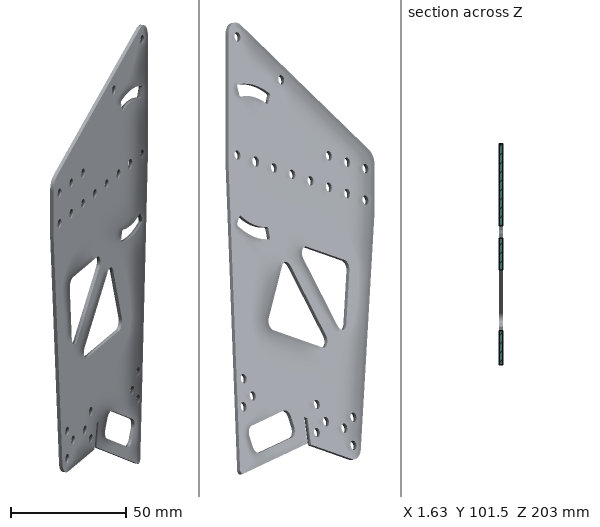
import cadquery as cq
import math

THICKNESS = 1.63
SIDE_VIEW_PLANE = cq.Plane(origin=(0, 0, 0), xDir=(0, -1, 0), normal=(-1, 0, 0))

PITCH = 12.7
HALF_PITCH = PITCH / 2
HOLE_DIAMETER = 4.12
PIVOT_DIAMETER = 4.62

WIDTH = 101.54
BACK_EDGE = -HALF_PITCH
FRONT_EDGE = BACK_EDGE + WIDTH
TAPER_LEVEL = -4.2
BACK_TAPER = 0.059
FRONT_TAPER = 0.0874
TOP_SLOPE = -0.4041
TOP_LINE_START = 60.25
FOOT_LEVEL = -119.2
TOP_BACK_RADIUS = 6.35
TOP_FRONT_RADIUS = 6.35
FOOT_RADIUS = 6.35
TAIL_RADIUS = 1.6
TAIL_ANGLE = 28.2

SLIT_BACK_MOUTH = 48.6
SLIT_MOUTH_WIDTH = 2.4
SLIT_LEAN = -2.35
SLIT_HEIGHT = 11.4

ROW_COUNT = 8
PIVOT_INDEX = 1
PIVOT_ACROSS = PIVOT_INDEX * PITCH
UPPER_ROW_LEVEL = 14.2
UPPER_ROW_FIRST = 5
TOP_HOLES = [(0, 53.4), (30.4, 40.95)]
CLUSTER_LEVEL = -106.4
TAIL_CLUSTER = 4.3
FOOT_CLUSTER = 55.2
CLUSTER_SPAN = 2 * PITCH

SLOT_RADIUS = 31.6
SLOT_WIDTH = 5.4
SLOT_BACK_ANGLE = 22.6
SLOT_FRONT_ANGLE = 17
SLOT_CORNER_RADIUS = 0.8

WINDOW_RADIUS = 3.5
BRACE_SLOPE = -1.05
UPPER_WINDOW_TOP = -30.4
UPPER_WINDOW_BRACE = 11.7
UPPER_WINDOW_FRONT = 80.7
LOWER_WINDOW_BOTTOM = -73.4
LOWER_WINDOW_BRACE = -2.95
LOWER_WINDOW_SLOPE = 2.77
LOWER_WINDOW_CORNER = 20.0

TAIL_WINDOW_CENTER = (23.84, -119.5)
TAIL_WINDOW_LENGTH = 32.7
TAIL_WINDOW_HEIGHT = 12.25
TAIL_WINDOW_RADIUS = 3.8


def prism(points):
    """Straight-sided block through the full plate thickness."""
    return (
        cq.Workplane(SIDE_VIEW_PLANE)
        .polyline(points)
        .close()
        .extrude(THICKNESS / 2, both=True)
    )


def round_corner(body, point, radius):
    corner = SIDE_VIEW_PLANE.toWorldCoords(point)
    return body.edges(cq.NearestToPointSelector(corner.toTuple())).fillet(radius)


def plate():
    tail_slope = math.tan(math.radians(TAIL_ANGLE))
    tail_line = FOOT_LEVEL - tail_slope * SLIT_BACK_MOUTH
    back_line = BACK_EDGE + BACK_TAPER * TAPER_LEVEL
    tip_up = (tail_line + tail_slope * back_line) / (1 + tail_slope * BACK_TAPER)
    tail_tip = (back_line - BACK_TAPER * tip_up, tip_up)
    top_back = (BACK_EDGE, TOP_LINE_START + TOP_SLOPE * BACK_EDGE)
    top_front = (FRONT_EDGE, TOP_LINE_START + TOP_SLOPE * FRONT_EDGE)
    foot = (FRONT_EDGE + FRONT_TAPER * (FOOT_LEVEL - TAPER_LEVEL), FOOT_LEVEL)
    slit_front_mouth = SLIT_BACK_MOUTH + SLIT_MOUTH_WIDTH
    slit_end = FOOT_LEVEL + SLIT_HEIGHT
    body = prism([
        top_back,
        top_front,
        (FRONT_EDGE, TAPER_LEVEL),
        foot,
        (slit_front_mouth, FOOT_LEVEL),
        (slit_front_mouth + SLIT_LEAN, slit_end),
        (SLIT_BACK_MOUTH + SLIT_LEAN, slit_end),
        (SLIT_BACK_MOUTH, FOOT_LEVEL),
        tail_tip,
        (BACK_EDGE, TAPER_LEVEL),
    ])
    body = round_corner(body, top_back, TOP_BACK_RADIUS)
    body = round_corner(body, top_front, TOP_FRONT_RADIUS)
    body = round_corner(body, foot, FOOT_RADIUS)
    return round_corner(body, tail_tip, TAIL_RADIUS)


def drill(points, diameter):
    return (
        cq.Workplane(SIDE_VIEW_PLANE)
        .pushPoints(points)
        .circle(diameter / 2)
        .extrude(THICKNESS, both=True)
    )


def plain_holes():
    """Centres of every hole except the pivot; each cluster is a sideways V of three."""
    row = [(i * PITCH, 0) for i in range(ROW_COUNT) if i != PIVOT_INDEX]
    upper_row = [(i * PITCH, UPPER_ROW_LEVEL) for i in range(UPPER_ROW_FIRST, ROW_COUNT)]
    clusters = []
    for outer, side in [(TAIL_CLUSTER, 1), (FOOT_CLUSTER, 1), (FOOT_CLUSTER + CLUSTER_SPAN, -1)]:
        clusters += [
            (outer, CLUSTER_LEVEL + HALF_PITCH),
            (outer + side * HALF_PITCH, CLUSTER_LEVEL),
            (outer, CLUSTER_LEVEL - HALF_PITCH),
        ]
    return row + upper_row + TOP_HOLES + clusters


def arc_slot(direction):
    """Slot around the pivot; direction is 1 above the hole row and -1 below it."""

    def polar(radius, angle):
        turn = math.radians(angle)
        return (PIVOT_ACROSS + radius * math.sin(turn), direction * radius * math.cos(turn))

    outer = SLOT_RADIUS + SLOT_WIDTH / 2
    inner = SLOT_RADIUS - SLOT_WIDTH / 2
    slot = (
        cq.Workplane(SIDE_VIEW_PLANE)
        .moveTo(*polar(outer, -SLOT_BACK_ANGLE))
        .threePointArc(polar(outer, 0), polar(outer, SLOT_FRONT_ANGLE))
        .lineTo(*polar(inner, SLOT_FRONT_ANGLE))
        .threePointArc(polar(inner, 0), polar(inner, -SLOT_BACK_ANGLE))
        .close()
        .extrude(THICKNESS, both=True)
    )
    return slot.edges("|X").fillet(SLOT_CORNER_RADIUS)


def upper_window():
    top_back = ((UPPER_WINDOW_TOP - UPPER_WINDOW_BRACE) / BRACE_SLOPE, UPPER_WINDOW_TOP)
    top_front = (UPPER_WINDOW_FRONT + FRONT_TAPER * UPPER_WINDOW_TOP, UPPER_WINDOW_TOP)
    low_up = (UPPER_WINDOW_BRACE + BRACE_SLOPE * UPPER_WINDOW_FRONT) / (1 - BRACE_SLOPE * FRONT_TAPER)
    low = (UPPER_WINDOW_FRONT + FRONT_TAPER * low_up, low_up)
    return prism([top_back, top_front, low]).edges("|X").fillet(WINDOW_RADIUS)


def lower_window():
    low_back = (LOWER_WINDOW_CORNER, LOWER_WINDOW_BOTTOM)
    low_front = ((LOWER_WINDOW_BOTTOM - LOWER_WINDOW_BRACE) / BRACE_SLOPE, LOWER_WINDOW_BOTTOM)
    back_line = LOWER_WINDOW_BOTTOM - LOWER_WINDOW_SLOPE * LOWER_WINDOW_CORNER
    peak_across = (LOWER_WINDOW_BRACE - back_line) / (LOWER_WINDOW_SLOPE - BRACE_SLOPE)
    peak = (peak_across, LOWER_WINDOW_BRACE + BRACE_SLOPE * peak_across)
    return prism([low_back, low_front, peak]).edges("|X").fillet(WINDOW_RADIUS)


def tail_window():
    return (
        cq.Workplane(SIDE_VIEW_PLANE)
        .center(*TAIL_WINDOW_CENTER)
        .transformed(rotate=(0, 0, TAIL_ANGLE))
        .rect(TAIL_WINDOW_LENGTH, TAIL_WINDOW_HEIGHT)
        .extrude(THICKNESS, both=True)
        .edges("|X")
        .fillet(TAIL_WINDOW_RADIUS)
    )


result = (
    plate()
    .cut(drill(plain_holes(), HOLE_DIAMETER))
    .cut(drill([(PIVOT_ACROSS, 0)], PIVOT_DIAMETER))
    .cut(arc_slot(1))
    .cut(arc_slot(-1))
    .cut(upper_window())
    .cut(lower_window())
    .cut(tail_window())
)